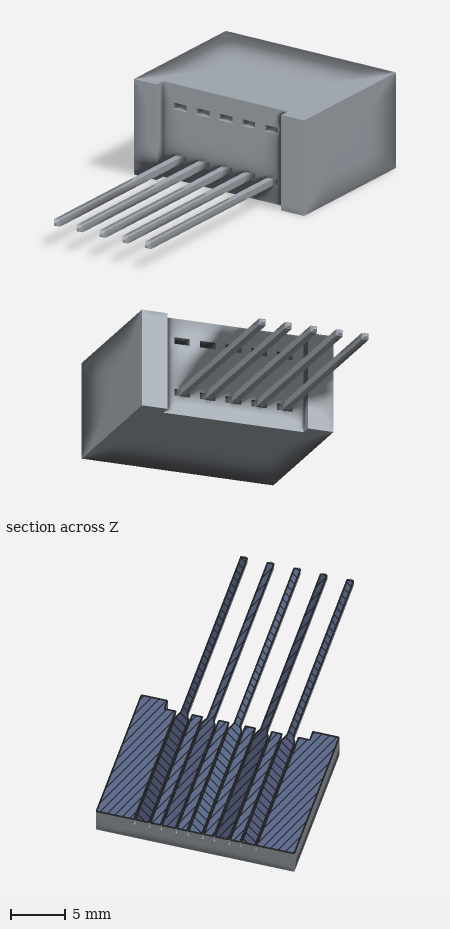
import cadquery as cq

housing_width = 18.95
housing_depth = 15.0
housing_height = 9.4

foot_width = 2.54
foot_height = 1.05

contact_pitch = 2.54
contacts_per_row = 5
row_spacing = 5.08
slot_width = 1.55

contact_thickness = 0.64
overall_depth = 34.3
blade_width = 1.3
shoulder_length = 0.8
tip_length = 0.36
tip_width = 0.22

wiring_face_y = foot_height
mating_face_y = housing_depth
tail_end_y = housing_depth - overall_depth
tip_start_y = tail_end_y + tip_length
blade_start_y = wiring_face_y + shoulder_length

slot_height = contact_thickness
lower_row_z = -row_spacing / 2
row_heights = [lower_row_z, row_spacing / 2]
column_positions = [
    (index - (contacts_per_row - 1) / 2) * contact_pitch for index in range(contacts_per_row)
]


def y_block(width, height, y_start, y_end):
    """Box centred on X = 0 and Z = 0 that runs between two Y positions."""
    block = cq.Workplane("XY").box(width, y_end - y_start, height, centered=(True, False, True))
    return block.translate((0, y_start, 0))


def make_housing():
    """Block with a recessed wiring face between its feet and two rows of through slots."""
    body = y_block(housing_width, housing_height, 0, mating_face_y)
    recess_width = housing_width - 2 * foot_width
    body = body.cut(y_block(recess_width, housing_height, 0, wiring_face_y))
    slot = y_block(slot_width, slot_height, wiring_face_y, mating_face_y)
    for z in row_heights:
        for x in column_positions:
            body = body.cut(slot.translate((x, 0, z)))
    return body


def make_contact(x):
    """Flat contact in the lower row whose tail ends in a four-sided taper."""
    half_tail = contact_thickness / 2
    half_blade = blade_width / 2
    shank = (
        cq.Workplane("XY")
        .workplane(offset=-half_tail)
        .moveTo(-half_tail, tip_start_y)
        .lineTo(half_tail, tip_start_y)
        .lineTo(half_tail, wiring_face_y)
        .lineTo(half_blade, blade_start_y)
        .lineTo(half_blade, mating_face_y)
        .lineTo(-half_blade, mating_face_y)
        .lineTo(-half_blade, blade_start_y)
        .lineTo(-half_tail, wiring_face_y)
        .close()
        .extrude(contact_thickness)
    )
    tip = (
        cq.Workplane("XZ", origin=(0, tip_start_y, 0))
        .rect(contact_thickness, contact_thickness)
        .workplane(offset=tip_length)
        .rect(tip_width, tip_width)
        .loft(ruled=True)
    )
    return shank.union(tip).translate((x, 0, lower_row_z))


housing = make_housing()
contacts = [make_contact(x) for x in column_positions]

result = cq.Compound.makeCompound([housing.val(), *[contact.val() for contact in contacts]])